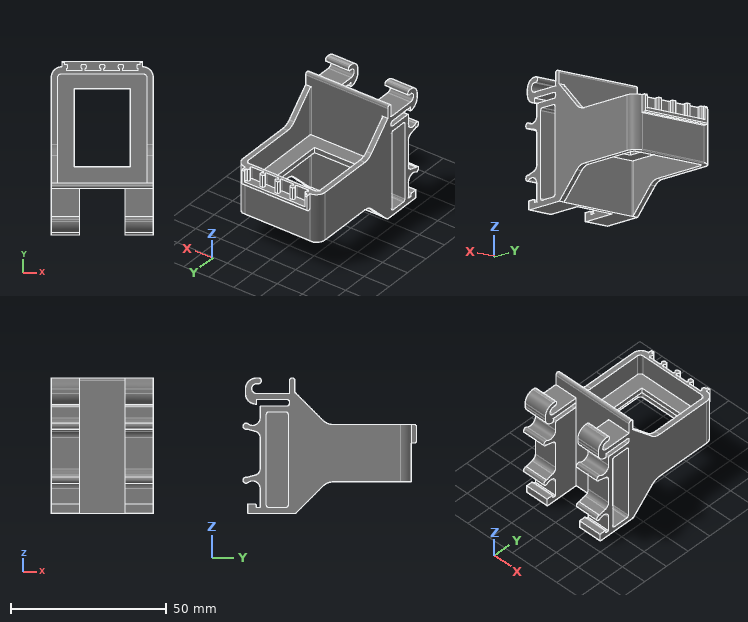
import cadquery as cq
import math


WIDTH = 32.9
WALL = 2.0

BOX_BOTTOM = 10.2
BOX_TOP = 28.7
BOX_BACK = 48.75
BOX_CORNER_RADIUS = 3.5
BOX_BOTTOM_EDGE_RADIUS = 0.3
FLARE_FOOT_Y = 21.6
FLARE_RADIUS = 5.0

FIN_FRONT = 9.45
FIN_THICKNESS = 1.8
FIN_TOP = 43.7
FIN_CREST_WIDTH = 0.1

CHANNEL_WIDTH = 14.6
RAIL_TOP = 34.7
RAIL_EDGE_RADIUS = 0.4
RECESS_BACK = 9.1
RECESS_CORNER_RADIUS = 0.75

SLOT_HEIGHT = 2.0
SLOT_CORNER_RADIUS = 0.8
HOOK_AXIS_Y = -1.1
HOOK_RADIUS = 3.65
HOOK_INNER_RADIUS = 1.55
HOOK_TIP_FLAT = 0.6
HOOK_CATCH_BOTTOM = 35.2

RIB_BULB_Y = -4.5
RIB_BULB_RADIUS = 1.0
RIB_BULB_OFFSET = 8.7
RIB_HOLLOW_RADIUS = 2.4
RIB_SLOPE_ANGLE = 15.0
RIB_ROOT_RADIUS = 2.0

LIP_FRONT = -4.0
LIP_BACK = -1.2
LIP_TOP = 3.1
LIP_TOP_RADIUS = 0.5
LIP_BOTTOM_RADIUS = 0.3

CAVITY_BACK = 46.35
CAVITY_BACK_RADIUS = 1.3
CAVITY_FRONT_RADIUS = 0.3
WINDOW_WIDTH = 18.0
WINDOW_LENGTH = 25.0
WINDOW_CENTER_Y = 29.05

COMB_WIDTH = 26.0
COMB_BACK = 50.4
COMB_HEIGHT = 6.0
COMB_EDGE_CHAMFER = 0.4
COMB_SHELF = 1.5
COMB_SOCKET_BOTTOM_Y = 47.45
TAB_WIDTH = 0.9
TOOTH_PITCH = 6.0
TOOTH_COUNT = 5
TOOTH_TOP_Y = 49.45
TOOTH_BULB_Y = 48.75
TOOTH_BULB_RADIUS = 0.88
TOOTH_NECK_WIDTH = 0.9
SOCKET_CORNER_RADIUS = 0.3

FIN_BACK = FIN_FRONT + FIN_THICKNESS
BOX_MIDDLE = (BOX_BOTTOM + BOX_TOP) / 2
ARM_BOTTOM = RAIL_TOP + SLOT_HEIGHT
ARM_TOP = ARM_BOTTOM + WALL
FIN_EDGE_RADIUS = (FIN_THICKNESS - FIN_CREST_WIDTH) / 2
FIN_SHOULDER = FIN_TOP - FIN_EDGE_RADIUS
RAIL_WIDTH = (WIDTH - CHANNEL_WIDTH) / 2
CAVITY_WIDTH = WIDTH - 2 * WALL


def side_profile():
    """Sketch plane holding Y and Z, placed so that extruding by WIDTH is centred on X = 0."""
    return cq.Workplane("YZ", origin=(-WIDTH / 2, 0, 0))


def round_long_edge(solid, y, z, radius):
    """Fillet the edge that runs along X through the given Y and Z."""
    return solid.edges(cq.NearestToPointSelector((0, y, z))).fillet(radius)


def block(x0, x1, y0, y1, z0, z1):
    """Box between the given limits on each axis."""
    return cq.Workplane("XY").box(x1 - x0, y1 - y0, z1 - z0, centered=False).translate((x0, y0, z0))


def make_body():
    """Box, flares, fin and rails as one full-width extrusion."""
    body = (
        side_profile()
        .moveTo(0, 0)
        .lineTo(0, RAIL_TOP)
        .lineTo(FIN_FRONT, RAIL_TOP)
        .lineTo(FIN_FRONT, FIN_SHOULDER)
        .tangentArcPoint((FIN_FRONT + FIN_EDGE_RADIUS, FIN_TOP), relative=False)
        .lineTo(FIN_BACK - FIN_EDGE_RADIUS, FIN_TOP)
        .tangentArcPoint((FIN_BACK, FIN_SHOULDER), relative=False)
        .lineTo(FIN_BACK, BOX_TOP + FLARE_FOOT_Y - FIN_BACK)
        .lineTo(FLARE_FOOT_Y, BOX_TOP)
        .lineTo(BOX_BACK, BOX_TOP)
        .lineTo(BOX_BACK, BOX_BOTTOM)
        .lineTo(FLARE_FOOT_Y, BOX_BOTTOM)
        .lineTo(FLARE_FOOT_Y - BOX_BOTTOM, 0)
        .close()
        .extrude(WIDTH)
    )
    body = round_long_edge(body, FLARE_FOOT_Y, BOX_TOP, FLARE_RADIUS)
    body = round_long_edge(body, FLARE_FOOT_Y, BOX_BOTTOM, FLARE_RADIUS)
    body = round_long_edge(body, 0, RAIL_TOP, RAIL_EDGE_RADIUS)
    body = round_long_edge(body, BOX_BACK, BOX_BOTTOM, BOX_BOTTOM_EDGE_RADIUS)

    plan = block(-WIDTH / 2, WIDTH / 2, 0, BOX_BACK, 0, FIN_TOP)
    plan = plan.edges("|Z and >Y").fillet(BOX_CORNER_RADIUS)
    return body.intersect(plan)


def make_hook_arm():
    """Horizontal arm above the slot, curling up into a hook with a catch below."""
    tip_radius = (FIN_TOP - ARM_TOP - 2 * HOOK_INNER_RADIUS) / 2
    tip_y = HOOK_AXIS_Y + HOOK_TIP_FLAT
    tip_bottom = ARM_TOP + 2 * HOOK_INNER_RADIUS
    inner_front = (HOOK_AXIS_Y - HOOK_INNER_RADIUS, ARM_TOP + HOOK_INNER_RADIUS)
    front = HOOK_AXIS_Y - HOOK_RADIUS
    return (
        side_profile()
        .moveTo(FIN_BACK, ARM_BOTTOM)
        .lineTo(FIN_BACK, ARM_TOP)
        .lineTo(HOOK_AXIS_Y, ARM_TOP)
        .threePointArc(inner_front, (HOOK_AXIS_Y, tip_bottom))
        .lineTo(tip_y, tip_bottom)
        .threePointArc((tip_y + tip_radius, tip_bottom + tip_radius), (tip_y, FIN_TOP))
        .lineTo(HOOK_AXIS_Y, FIN_TOP)
        .tangentArcPoint((front, FIN_TOP - HOOK_RADIUS), relative=False)
        .lineTo(front, ARM_TOP)
        .tangentArcPoint((HOOK_AXIS_Y, HOOK_CATCH_BOTTOM), relative=False)
        .lineTo(HOOK_AXIS_Y, ARM_BOTTOM)
        .close()
        .extrude(WIDTH)
    )


def make_upper_rib():
    """Snap rib: hollow on top, round bulb at the end and a sloping underside with a root fillet."""
    root_depth = WALL / 2
    slope = math.radians(RIB_SLOPE_ANGLE)
    bulb_z = BOX_MIDDLE + RIB_BULB_OFFSET

    hollow_y = -RIB_HOLLOW_RADIUS
    center_distance = RIB_HOLLOW_RADIUS + RIB_BULB_RADIUS
    hollow_z = bulb_z + math.sqrt(center_distance**2 - (hollow_y - RIB_BULB_Y) ** 2)
    share = RIB_BULB_RADIUS / center_distance
    crest = (RIB_BULB_Y + share * (hollow_y - RIB_BULB_Y), bulb_z + share * (hollow_z - bulb_z))

    under_bulb = (
        RIB_BULB_Y + RIB_BULB_RADIUS * math.sin(slope),
        bulb_z - RIB_BULB_RADIUS * math.cos(slope),
    )
    root_z = under_bulb[1] + under_bulb[0] * math.tan(slope)
    root_bottom = root_z - RIB_ROOT_RADIUS

    rib = (
        side_profile()
        .moveTo(root_depth, hollow_z)
        .lineTo(0, hollow_z)
        .threePointArc((hollow_y, hollow_z - RIB_HOLLOW_RADIUS), crest)
        .threePointArc((RIB_BULB_Y - RIB_BULB_RADIUS, bulb_z), under_bulb)
        .lineTo(0, root_z)
        .lineTo(0, root_bottom)
        .lineTo(root_depth, root_bottom)
        .close()
        .extrude(WIDTH)
    )
    return round_long_edge(rib, 0, root_z, RIB_ROOT_RADIUS)


def make_foot_lip():
    """Upturned lip that runs forward from the bottom of the rails."""
    lip = (
        side_profile()
        .moveTo(WALL, 0)
        .lineTo(LIP_FRONT, 0)
        .lineTo(LIP_FRONT, LIP_TOP)
        .lineTo(LIP_BACK, LIP_TOP)
        .lineTo(LIP_BACK, WALL)
        .lineTo(WALL, WALL)
        .close()
        .extrude(WIDTH)
    )
    lip = round_long_edge(lip, LIP_BACK, LIP_TOP, LIP_TOP_RADIUS)
    return round_long_edge(lip, LIP_FRONT, 0, LIP_BOTTOM_RADIUS)


def make_channel():
    """Opening that splits the front into two rails, from the fin forwards."""
    front = RIB_BULB_Y - 2 * RIB_BULB_RADIUS
    return block(-CHANNEL_WIDTH / 2, CHANNEL_WIDTH / 2, front, FIN_FRONT, 0, FIN_TOP)


def make_rail_recess():
    """Blind recess in the outer side of the -X rail, leaving a wall towards the channel."""
    recess = block(
        -WIDTH / 2, -WIDTH / 2 + RAIL_WIDTH - WALL,
        WALL, RECESS_BACK,
        WALL, RAIL_TOP - WALL,
    )
    return recess.edges("|X").fillet(RECESS_CORNER_RADIUS)


def make_cavity(bottom, top):
    """Hollow of the box between two heights, with rounded upright corners."""
    cavity = block(-CAVITY_WIDTH / 2, CAVITY_WIDTH / 2, FIN_BACK, CAVITY_BACK, bottom, top)
    cavity = cavity.edges("|Z and >Y").fillet(CAVITY_BACK_RADIUS)
    return cavity.edges("|Z and <Y").fillet(CAVITY_FRONT_RADIUS)


def make_window():
    """Rectangular opening through the web."""
    center = (0, WINDOW_CENTER_Y, BOX_MIDDLE)
    return cq.Workplane("XY", origin=center).box(WINDOW_WIDTH, WINDOW_LENGTH, 2 * WALL)


def make_comb_block():
    """Solid block on the back wall from which the comb is cut."""
    comb = block(-COMB_WIDTH / 2, COMB_WIDTH / 2, CAVITY_BACK, COMB_BACK, BOX_TOP - COMB_HEIGHT, BOX_TOP)
    return comb.edges("|X and >Y").chamfer(COMB_EDGE_CHAMFER)


def make_comb_socket():
    """Space between the comb teeth, open at the top and back and closed below by the shelf."""
    floor = BOX_TOP - COMB_HEIGHT + COMB_SHELF
    depth = BOX_TOP - floor
    half_span = TOOTH_PITCH * (TOOTH_COUNT - 1) / 2
    tab_inner = COMB_WIDTH / 2 - TAB_WIDTH

    socket = block(-tab_inner, tab_inner, TOOTH_TOP_Y, COMB_BACK, floor, BOX_TOP)
    for gap in range(TOOTH_COUNT - 1):
        left = -half_span + gap * TOOTH_PITCH
        right = left + TOOTH_PITCH
        cell = block(
            left + TOOTH_NECK_WIDTH / 2, right - TOOTH_NECK_WIDTH / 2,
            COMB_SOCKET_BOTTOM_Y, TOOTH_TOP_Y, floor, BOX_TOP,
        )
        cell = cell.edges("|Z and <Y").fillet(SOCKET_CORNER_RADIUS)
        for tooth_x in (left, right):
            bulb_base = cq.Workplane("XY", origin=(tooth_x, TOOTH_BULB_Y, floor))
            cell = cell.cut(bulb_base.circle(TOOTH_BULB_RADIUS).extrude(depth))
        socket = socket.union(cell)
    return socket


upper_rib = make_upper_rib()
lower_rib = upper_rib.mirror("XY", (0, 0, BOX_MIDDLE))
rail_recess = make_rail_recess()

result = make_body().union(make_hook_arm())
for slot_edge_z in (RAIL_TOP, ARM_BOTTOM):
    result = round_long_edge(result, FIN_FRONT, slot_edge_z, SLOT_CORNER_RADIUS)
result = result.union(upper_rib).union(lower_rib).union(make_foot_lip()).union(make_comb_block())
result = (
    result.cut(make_channel())
    .cut(rail_recess)
    .cut(rail_recess.mirror("YZ"))
    .cut(make_cavity(BOX_MIDDLE + WALL / 2, FIN_TOP))
    .cut(make_cavity(0, BOX_MIDDLE - WALL / 2))
    .cut(make_window())
    .cut(make_comb_socket())
)